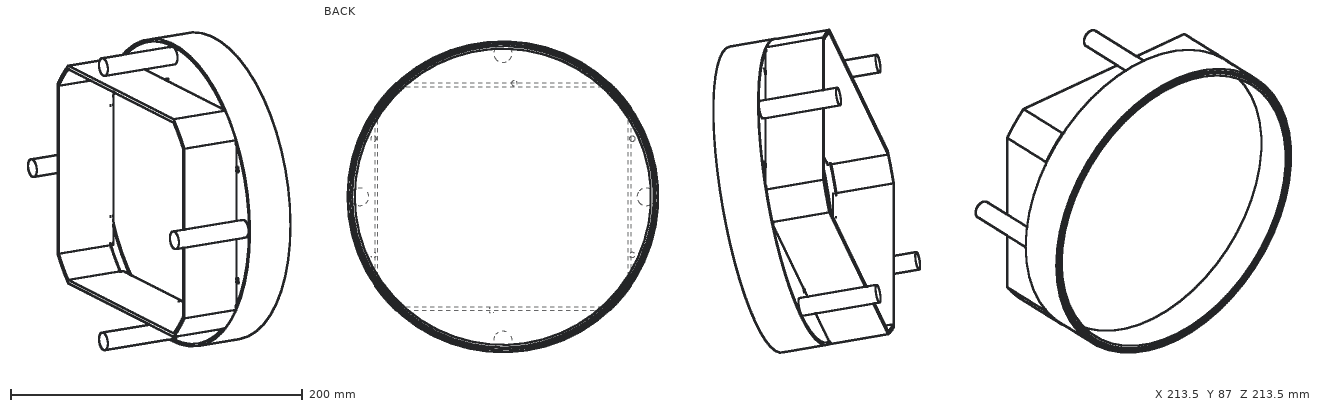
import cadquery as cq
import math


HOUSING_DIAMETER = 213.5
HOUSING_BORE = 210.0
HOUSING_DEPTH = 32.0

SHROUD_DIAMETER = 214.0
SHROUD_LENGTH = 41.2
SHROUD_WIDTH = 176.0
SHROUD_HEIGHT = 156.3
SIDE_WALL = 2.0
TOP_WALL = 2.5
OPENING_WIDTH = SHROUD_WIDTH - 2 * SIDE_WALL
OPENING_HEIGHT = SHROUD_HEIGHT - 2 * TOP_WALL
FLANGE_THICKNESS = 2.0
CORNER_CLEARANCE = 0.5

SCREW_HOLE_DIAMETER = 3.8
SIDE_HOLE_X = 88.8
SIDE_HOLE_Z = 40.0
END_HOLE_X = 8.0
END_HOLE_Z = 78.0

LINER_DIAMETER = 207.0
LINER_BORE = 203.5
LINER_FRONT = 4.7
PANEL_THICKNESS = 2.0

LEG_COUNT = 4
LEG_DIAMETER = 12.4
LEG_LENGTH = 55.0
LEG_CIRCLE_RADIUS = 98.5


def cylinder(diameter, front, rear, x=0, z=0):
    """Cylinder along Y between the planes Y = front and Y = rear."""
    plane = cq.Workplane("XZ", origin=(x, rear, z))
    return plane.circle(diameter / 2).extrude(rear - front)


def clipped_block(width, height, diameter, front, rear):
    """Rectangular block along Y whose corners are rounded off by a centred circle."""
    block = cq.Workplane("XZ", origin=(0, rear, 0)).rect(width, height).extrude(rear - front)
    return block.intersect(cylinder(diameter, front, rear))


def make_housing():
    outside = cylinder(HOUSING_DIAMETER, 0, HOUSING_DEPTH)
    return outside.cut(cylinder(HOUSING_BORE, 0, HOUSING_DEPTH))


def make_shroud():
    flange = cylinder(HOUSING_BORE, 0, FLANGE_THICKNESS)
    side_holes = [(sx * SIDE_HOLE_X, sz * SIDE_HOLE_Z) for sx in (-1, 1) for sz in (-1, 1)]
    end_holes = [(-END_HOLE_X, END_HOLE_Z), (END_HOLE_X, -END_HOLE_Z)]
    for x, z in side_holes + end_holes:
        flange = flange.cut(cylinder(SCREW_HOLE_DIAMETER, 0, FLANGE_THICKNESS, x, z))

    wall = clipped_block(SHROUD_WIDTH, SHROUD_HEIGHT, SHROUD_DIAMETER, -SHROUD_LENGTH, 0)
    corner_gap = cylinder(SHROUD_DIAMETER, -CORNER_CLEARANCE, 0)
    corner_gap = corner_gap.cut(cylinder(HOUSING_BORE, -CORNER_CLEARANCE, 0))
    wall = wall.cut(corner_gap)

    opening = clipped_block(
        OPENING_WIDTH, OPENING_HEIGHT, HOUSING_BORE, -SHROUD_LENGTH, FLANGE_THICKNESS
    )
    return flange.union(wall).cut(opening)


def make_liner():
    outside = cylinder(LINER_DIAMETER, LINER_FRONT, HOUSING_DEPTH)
    return outside.cut(cylinder(LINER_BORE, LINER_FRONT, HOUSING_DEPTH))


def make_panel():
    return cylinder(LINER_BORE, LINER_FRONT, LINER_FRONT + PANEL_THICKNESS)


def make_leg(angle):
    x = LEG_CIRCLE_RADIUS * math.cos(angle)
    z = LEG_CIRCLE_RADIUS * math.sin(angle)
    return cylinder(LEG_DIAMETER, -LEG_LENGTH, 0, x, z)


housing = make_housing()
shroud = make_shroud()
liner = make_liner()
panel = make_panel()
legs = [make_leg(2 * math.pi * i / LEG_COUNT) for i in range(LEG_COUNT)]

result = cq.Compound.makeCompound(
    [housing.val(), shroud.val(), liner.val(), panel.val(), *[leg.val() for leg in legs]]
)